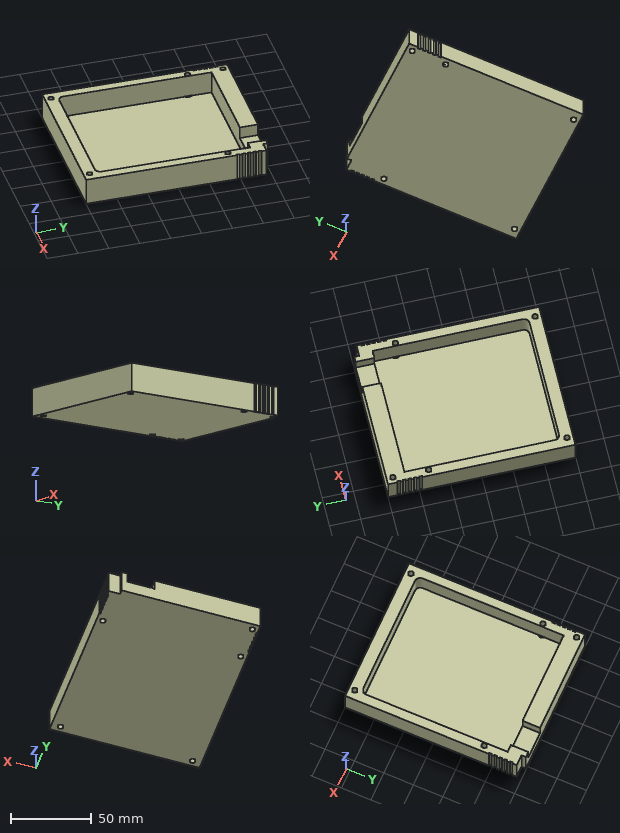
import cadquery as cq

WIDTH = 98.48
LENGTH = 119.8
HEIGHT = 18.17

FLOOR = 3.05
SIDE_WALL = 6.08
FRONT_WALL = 8.4
BACK_WALL = 11.9
POCKET_RADIUS = 3.6

SLOT_WIDTH = 17.9
SLOT_CENTRE_X = 29.15
SLOT_DEPTH = 8.0

NOTCH_WIDTH = 7.4
NOTCH_LENGTH = 3.05

GROOVE_COUNT = 5
GROOVE_WIDTH = 1.75
GROOVE_PITCH = 3.5
GROOVE_DEPTH = 0.8
GROOVE_BACK_OFFSET = 6.2

HOLE_DIAMETER = 3.4
BACK_HOLE_X = 45.2
BACK_HOLE_Y = 55.9
MIDDLE_HOLE_Y = 33.0
FRONT_HOLE_X = 43.25
FRONT_HOLE_Y = -55.85

PAD_DIAMETER = 6.0
PAD_HEIGHT = 0.2

MIDDLE_HOLES = [(-BACK_HOLE_X, MIDDLE_HOLE_Y), (BACK_HOLE_X, MIDDLE_HOLE_Y)]
SCREW_HOLES = MIDDLE_HOLES + [
    (-BACK_HOLE_X, BACK_HOLE_Y),
    (-FRONT_HOLE_X, FRONT_HOLE_Y),
    (FRONT_HOLE_X, FRONT_HOLE_Y),
]


def box(x_min, x_max, y_min, y_max, z_min, z_max):
    """Axis-aligned box between the given limits."""
    size = (x_max - x_min, y_max - y_min, z_max - z_min)
    return cq.Workplane("XY").box(*size, centered=False).translate((x_min, y_min, z_min))


def make_block():
    block = cq.Workplane("XY").box(WIDTH, LENGTH, HEIGHT, centered=(True, True, False))
    notch = box(WIDTH / 2 - NOTCH_WIDTH, WIDTH / 2, LENGTH / 2 - NOTCH_LENGTH, LENGTH / 2, 0, HEIGHT)
    return block.cut(notch)


def make_pocket():
    """Pocket with round front corners and square back corners."""
    half_width = WIDTH / 2 - SIDE_WALL
    pocket = box(-half_width, half_width, FRONT_WALL - LENGTH / 2, LENGTH / 2 - BACK_WALL, FLOOR, HEIGHT)
    return pocket.edges("|Z and <Y").fillet(POCKET_RADIUS)


def make_slot():
    return box(
        SLOT_CENTRE_X - SLOT_WIDTH / 2,
        SLOT_CENTRE_X + SLOT_WIDTH / 2,
        LENGTH / 2 - BACK_WALL,
        LENGTH / 2,
        HEIGHT - SLOT_DEPTH,
        HEIGHT,
    )


def cut_grooves(body):
    """Cut a row of vertical grooves into the left and right sides."""
    for index in range(GROOVE_COUNT):
        y_max = LENGTH / 2 - GROOVE_BACK_OFFSET - index * GROOVE_PITCH
        y_min = y_max - GROOVE_WIDTH
        left = box(-WIDTH / 2, GROOVE_DEPTH - WIDTH / 2, y_min, y_max, 0, HEIGHT)
        body = body.cut(left).cut(left.mirror("YZ"))
    return body


def make_pads():
    pads = cq.Workplane("XY").pushPoints(MIDDLE_HOLES)
    return pads.circle(PAD_DIAMETER / 2).extrude(FLOOR + PAD_HEIGHT)


def make_screw_holes():
    holes = cq.Workplane("XY").pushPoints(SCREW_HOLES)
    return holes.circle(HOLE_DIAMETER / 2).extrude(HEIGHT)


body = make_block().cut(make_pocket()).cut(make_slot())
body = cut_grooves(body)
result = body.union(make_pads()).cut(make_screw_holes())